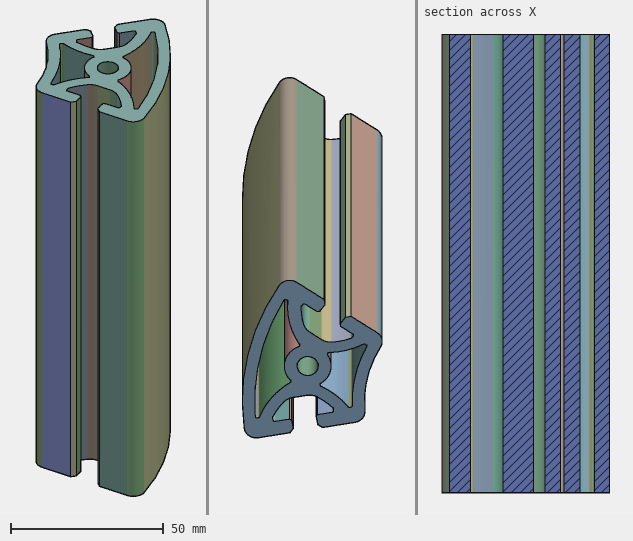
import cadquery as cq
import math

LENGTH = 150.0
SECTOR_ANGLE = 45.0
MID_RADIUS = 60.0
HALF_DEPTH = MID_RADIUS / 3
INNER_RADIUS = MID_RADIUS - HALF_DEPTH
OUTER_RADIUS = MID_RADIUS + HALF_DEPTH
CORNER_RADIUS = 4.0
WALL = 4.0

BORE_RADIUS = 3.5
BOSS_RADIUS = 7.6

SLOT_HALF_WIDTH = 4.0
UPPER_SLOT_SHIFT = 0.5
LIP_THICKNESS = 5.0
LIP_OUTER_CHAMFER = 1.4
LIP_INNER_CHAMFER = 0.6
POCKET_HALF_WIDTH = 10.0
POCKET_SHOULDER = 6.5
POCKET_DEPTH = 12.5
POCKET_HALF_TOP = 4.0
POCKET_CORNER_RADIUS = 0.6
POCKET_TOP_RADIUS = 5.2

RIB_CENTRE_OFFSET = 7.5
RIB_CENTRE_HEIGHT = -5.1
RIB_INNER_RADIUS = 21.0
RIB_OUTER_RADIUS = RIB_INNER_RADIUS + WALL
OUTER_TIP_HEIGHT = 7.2
INNER_TIP_HEIGHT = 5.7
HOLLOW_CORNER_RADIUS = 0.6

half_angle = math.radians(SECTOR_ANGLE / 2)
bisector = (math.cos(half_angle), math.sin(half_angle))
boss_centre = (MID_RADIUS * bisector[0], MID_RADIUS * bisector[1])


def cylinder(centre, radius):
    return cq.Workplane("XY").center(*centre).circle(radius).extrude(LENGTH)


def across_bisector(solid):
    """Mirror a solid from one slotted face to the other."""
    return solid.mirror("XZ").rotate((0, 0, 0), (0, 0, 1), SECTOR_ANGLE)


def wedge(face_distance):
    """Triangular prism whose sides lie face_distance inside the slotted faces."""
    reach = 2 * OUTER_RADIUS
    apex = (face_distance / math.tan(half_angle), face_distance)
    angle = math.radians(SECTOR_ANGLE)
    far_corner = (apex[0] + reach * math.cos(angle), apex[1] + reach * math.sin(angle))
    points = [apex, (apex[0] + reach, apex[1]), far_corner]
    return cq.Workplane("XY").polyline(points).close().extrude(LENGTH)


def ring_sector(inner_radius, outer_radius, face_distance):
    ring = cq.Workplane("XY").circle(outer_radius).circle(inner_radius).extrude(LENGTH)
    return ring.intersect(wedge(face_distance))


def hollow(inner_radius, outer_radius, tip_height, rib_centre_x):
    """Closed chamber bounded by a curved wall, two ribs and the boss."""
    rib = cylinder((rib_centre_x, RIB_CENTRE_HEIGHT), RIB_OUTER_RADIUS)
    chamber = ring_sector(inner_radius, outer_radius, tip_height)
    chamber = chamber.cut(rib).cut(across_bisector(rib))
    chamber = chamber.cut(cylinder(boss_centre, BOSS_RADIUS))
    return chamber.edges("|Z").fillet(HOLLOW_CORNER_RADIUS)


def slot(centre_x):
    """T-slot at centre_x, opening through the Y = 0 face."""
    middle = math.radians(SECTOR_ANGLE)
    side_x = -RIB_CENTRE_OFFSET + RIB_INNER_RADIUS * math.cos(middle)
    side_y = RIB_CENTRE_HEIGHT + RIB_INNER_RADIUS * math.sin(middle)
    pocket = (
        cq.Workplane("XY")
        .moveTo(-POCKET_HALF_WIDTH, LIP_THICKNESS)
        .lineTo(POCKET_HALF_WIDTH, LIP_THICKNESS)
        .lineTo(POCKET_HALF_WIDTH, POCKET_SHOULDER)
        .threePointArc((side_x, side_y), (POCKET_HALF_TOP, POCKET_DEPTH))
        .lineTo(-POCKET_HALF_TOP, POCKET_DEPTH)
        .threePointArc((-side_x, side_y), (-POCKET_HALF_WIDTH, POCKET_SHOULDER))
        .close()
        .extrude(LENGTH)
        .edges("|Z and >Y")
        .fillet(POCKET_TOP_RADIUS)
        .edges("|Z and (<X or >X)")
        .fillet(POCKET_CORNER_RADIUS)
    )
    right_side = [
        (SLOT_HALF_WIDTH + LIP_OUTER_CHAMFER, 0),
        (SLOT_HALF_WIDTH, LIP_OUTER_CHAMFER),
        (SLOT_HALF_WIDTH, LIP_THICKNESS - LIP_INNER_CHAMFER),
        (SLOT_HALF_WIDTH + LIP_INNER_CHAMFER, LIP_THICKNESS),
    ]
    left_side = [(-x, y) for x, y in reversed(right_side)]
    opening = cq.Workplane("XY").polyline(right_side + left_side).close().extrude(LENGTH)
    return pocket.union(opening).translate((centre_x, 0, 0))


body = ring_sector(INNER_RADIUS, OUTER_RADIUS, 0).edges("|Z").fillet(CORNER_RADIUS)
lower_slot = slot(MID_RADIUS)
upper_slot = across_bisector(slot(MID_RADIUS - UPPER_SLOT_SHIFT))
outer_hollow = hollow(
    MID_RADIUS, OUTER_RADIUS - WALL, OUTER_TIP_HEIGHT, MID_RADIUS - RIB_CENTRE_OFFSET
)
inner_hollow = hollow(
    INNER_RADIUS + WALL, MID_RADIUS, INNER_TIP_HEIGHT, MID_RADIUS + RIB_CENTRE_OFFSET
)
bore = cylinder(boss_centre, BORE_RADIUS)

result = body
for void in (lower_slot, upper_slot, outer_hollow, inner_hollow, bore):
    result = result.cut(void)